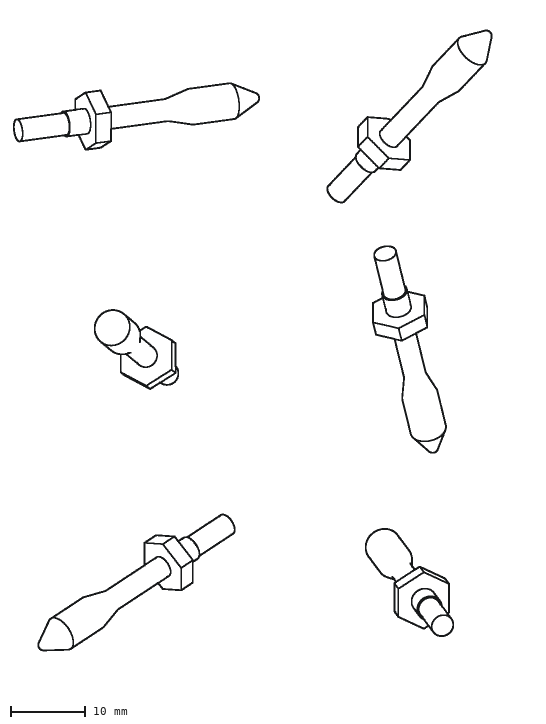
import cadquery as cq
import math

tail_length = 6.8
collar_length = 3.0
hex_thickness = 2.2
shaft_length = 9.6
flare_length = 3.5
head_length = 6.0
total_length = 35.0

shaft_diameter = 3.0
collar_diameter = 3.4
head_diameter = 4.85
hex_across_flats = 7.0
tip_radius = 0.75

hex_start = tail_length + collar_length
hex_end = hex_start + hex_thickness
flare_start = hex_end + shaft_length
head_start = flare_start + flare_length
head_end = head_start + head_length
tip_centre = total_length - tip_radius


def tip_point(angle):
    """Point on the tip sphere, with the angle measured from the radial direction."""
    return (
        tip_radius * math.cos(angle),
        tip_centre + tip_radius * math.sin(angle),
    )


def make_spindle():
    """Turned body: tail, collar, shaft, flared head and nose cone with a rounded tip."""
    shaft_radius = shaft_diameter / 2
    collar_radius = collar_diameter / 2
    head_radius = head_diameter / 2

    nose_length = tip_centre - head_end
    edge_to_tip_centre = math.hypot(head_radius, nose_length)
    nose_half_angle = math.atan2(head_radius, nose_length) - math.asin(tip_radius / edge_to_tip_centre)
    arc_middle_angle = (nose_half_angle + math.pi / 2) / 2

    profile = (
        cq.Workplane("XY")
        .moveTo(0, 0)
        .lineTo(shaft_radius, 0)
        .lineTo(shaft_radius, tail_length)
        .lineTo(collar_radius, tail_length)
        .lineTo(collar_radius, hex_start)
        .lineTo(shaft_radius, hex_start)
        .lineTo(shaft_radius, flare_start)
        .lineTo(head_radius, head_start)
        .lineTo(head_radius, head_end)
        .lineTo(*tip_point(nose_half_angle))
        .threePointArc(tip_point(arc_middle_angle), (0, total_length))
        .close()
    )
    return profile.revolve(360, (0, 0, 0), (0, 1, 0))


def make_hex_flange():
    """Hexagonal flange with two flats facing +X and -X and corners at +Z and -Z."""
    across_corners = hex_across_flats / math.cos(math.pi / 6)
    return (
        cq.Workplane("XZ", origin=(0, hex_start, 0))
        .transformed(rotate=(0, 0, 90))
        .polygon(6, across_corners)
        .extrude(-hex_thickness)
    )


result = make_spindle().union(make_hex_flange())